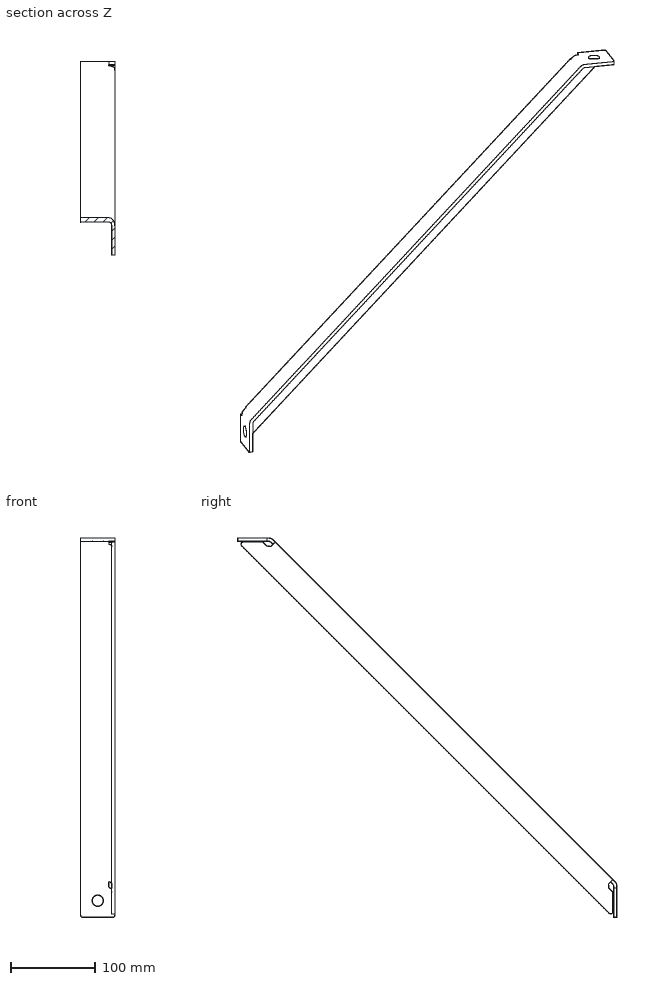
import cadquery as cq
import math

span = 450.0
width = 41.0
thickness = 4.0
inner_radius = 3.0
tab_length = 40.0
tab_corner_radius = 2.5
hole_diameter = 13.0
hole_from_end = 20.0
flange_depth = 31.5
flange_tip_radius = 2.5
flange_gap = 0.68
relief_depth = 10.5
relief_setback = 9.5
bend_setback = 6.8
tab_relief = 5.5
relief_corner_radius = 2.2

half = span / 2
corner = half - tab_length
outer_radius = inner_radius + thickness
bend_start_x = width - outer_radius
web_length = math.sqrt(2) * (half + corner)
bend_length = web_length - 2 * bend_setback
hole_place = half - hole_from_end
inner_corner = corner + thickness * math.tan(math.pi / 8)


def swapped(points):
    """Mirror (Y, Z) points across the plane Y = Z, reversing their order."""
    return [(z, y) for y, z in reversed(points)]


def make_strip():
    """Sloping web with a horizontal tab above and a vertical tab below."""
    upper_outer = [(-half, half), (-corner, half)]
    upper_inner = [(-inner_corner, half - thickness), (-half, half - thickness)]
    outline = upper_outer + swapped(upper_outer) + swapped(upper_inner) + upper_inner
    strip = cq.Workplane("YZ").polyline(outline).close().extrude(width)
    for y, z, radius in (
        (-corner, half, outer_radius),
        (half, -corner, outer_radius),
        (-inner_corner, half - thickness, inner_radius),
        (half - thickness, -inner_corner, inner_radius),
    ):
        bend_edge = cq.selectors.NearestToPointSelector((width / 2, y, z))
        strip = strip.edges(bend_edge).fillet(radius)
    strip = strip.faces("<Y").edges("|Z").fillet(tab_corner_radius)
    strip = strip.faces("<Z").edges("|Y").fillet(tab_corner_radius)
    return strip


def cut_holes(body):
    """One round hole through each tab, centred on the width."""
    upper = (
        cq.Workplane("XY", origin=(width / 2, -hole_place, half))
        .circle(hole_diameter / 2).extrude(-2 * thickness)
    )
    lower = (
        cq.Workplane("XZ", origin=(width / 2, half, -hole_place))
        .circle(hole_diameter / 2).extrude(2 * thickness)
    )
    return body.cut(upper).cut(lower)


def make_edge_clearance():
    """Edge of the strip beside the flange: everything between the two tab reliefs."""
    tab_edge = -corner - tab_relief
    outline = [(tab_edge, half), (half, half), (half, tab_edge)]
    outline += [(half - 2 * thickness, tab_edge), (tab_edge, half - 2 * thickness)]
    clearance = (
        cq.Workplane("YZ", origin=(bend_start_x, 0, 0))
        .polyline(outline).close().extrude(outer_radius)
    )
    for y, z in ((tab_edge, half - thickness), (half - thickness, tab_edge)):
        inner_edge = cq.selectors.NearestToPointSelector((bend_start_x, y, z))
        clearance = clearance.edges(inner_edge).fillet(relief_corner_radius)
    return clearance


def make_flange_bend():
    """Quarter-round bend running along the web; section axes are X and depth."""
    web_middle = (half - corner) / 2
    section = cq.Plane(
        origin=(0, web_middle, web_middle), xDir=(1, 0, 0), normal=(0, -1, 1)
    )
    arc = math.sqrt(0.5)
    return (
        cq.Workplane(section)
        .moveTo(bend_start_x, 0)
        .threePointArc(
            (bend_start_x + outer_radius * arc, -outer_radius * (1 - arc)),
            (width, -outer_radius),
        )
        .lineTo(width - thickness, -outer_radius)
        .threePointArc(
            (bend_start_x + inner_radius * arc, -outer_radius + inner_radius * arc),
            (bend_start_x, -thickness),
        )
        .close()
        .extrude(bend_length / 2, both=True)
    )


def make_flange():
    """Flat flange with a relief notch at each end and rounded tips."""
    def at_depth(depth, z):
        return (half - corner - depth * math.sqrt(2) - z, z)

    def along_web(distance, depth):
        shift = math.sqrt(0.5)
        return (-corner + (distance - depth) * shift, half - (distance + depth) * shift)

    edge_z = half - thickness - flange_gap
    upper_end = [
        at_depth(flange_depth, edge_z),
        at_depth(relief_depth, edge_z),
        at_depth(relief_depth, half - relief_setback),
        along_web(bend_setback, outer_radius),
    ]
    plate = (
        cq.Workplane("YZ", origin=(width - thickness, 0, 0))
        .polyline(upper_end + swapped(upper_end)).close().extrude(thickness)
    )
    tip_y, tip_z = upper_end[0]
    for y, z in ((tip_y, tip_z), (tip_z, tip_y)):
        tip = cq.selectors.NearestToPointSelector((width - thickness / 2, y, z))
        plate = plate.edges(tip).fillet(flange_tip_radius)
    return plate


body = cut_holes(make_strip()).cut(make_edge_clearance())
result = body.union(make_flange_bend()).union(make_flange())